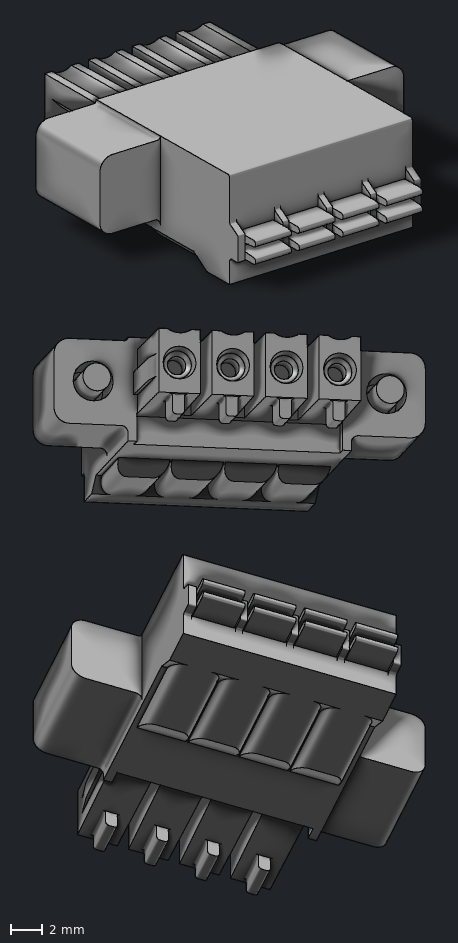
import cadquery as cq


EPS = 0.02

TOTAL_WIDTH = 24.3
POLE_COUNT = 4
POLE_PITCH = 3.5
POLE_CENTRES = [(i - (POLE_COUNT - 1) / 2) * POLE_PITCH for i in range(POLE_COUNT)]
SIDES = (-1, 1)

HOUSING_WIDTH = 14.63
HOUSING_TOP = 3.0
HOUSING_BOTTOM = -4.76
FRONT_BOTTOM = -3.85
REAR = 14.34
TOP_REAR_RADIUS = 0.2
SLOPE_RUN = 1.43
STEP_START = 10.45

COLLAR_REAR = 15.25
COLLAR_SLOPE_TOP = -0.44
COLLAR_SLOPE_END = -1.0
COLLAR_BOTTOM = -2.9
COLLAR_EDGE_RADIUS = 0.1
COLLAR_SLOPE_RADIUS = 0.25
COLLAR_ROOT_RADIUS = 0.25

BLADE_TIP = 16.28
BLADE_WIDTH = 2.87
BLADE_ROOT_THICKNESS = 0.53
BLADE_TIP_THICKNESS = 0.45
BLADE_TOP = -1.15
BLADE_BOTTOM = -2.85
BLADE_TIP_RADIUS = 0.22
SLOT_WIDTH = 3.01

LOBE_START = 4.95
LOBE_WIDTH = 3.35
LOBE_RADIUS = 0.83

FLANGE_LENGTH = 6.9
FLANGE_TOP = 2.75
FLANGE_BOTTOM = -2.85
FLANGE_RADIUS = 1.0
FLANGE_BOTTOM_ROOT_RADIUS = 0.45

SCREW_CENTRE = 9.6
SCREW_HOLE_DIAMETER = 2.6
SCREW_HOLE_DEPTH = 3.4
SCREW_DIAMETER = 1.82
SCREW_TIP = -1.25

PLUG_TIP = -6.51
PLUG_TOP = 2.2
PLUG_BOTTOM = -2.0
PLUG_TIP_WIDTH = 2.72
PLUG_ROOT_WIDTH = 2.87
GROOVE_WIDTH = 1.55
GROOVE_DEPTH = 0.25

MOUTH_DIAMETER = 2.15
MOUTH_END_DIAMETER = 1.82
MOUTH_DEPTH = 0.7
FUNNEL_DEPTH = 0.25
BORE_DIAMETER = 1.2
BORE_DEPTH = 2.19

KEY_START = -6.2
KEY_LENGTH = 2.24
KEY_WIDTH = 0.8
KEY_BOTTOM = -3.3
KEY_RADIUS = 0.25
KEY_ROOT_RADIUS = 0.15

RECESS_WIDTH = 13.46
RECESS_DEPTH = 0.9

RIB_START = -5.7
RIB_RAMP_END = -4.35
RIB_TOP = 0.7
RIB_BOTTOM = -0.78
RIB_RAMP_Y = 6.85
RIB_ROOT_Y = 6.95


def box(x_range, y_range, z_range):
    """Box between the given limits."""
    (x0, x1), (y0, y1), (z0, z1) = x_range, y_range, z_range
    return cq.Workplane("XY").box(x1 - x0, y1 - y0, z1 - z0, centered=False).translate((x0, y0, z0))


def side_prism(points, width, centre_y=0.0):
    """Outline in X and Z, extruded symmetrically about a plane of constant Y."""
    prism = cq.Workplane("XZ").polyline(points).close().extrude(width / 2, both=True)
    return prism.translate((0, centre_y, 0))


def x_cylinder(diameter, start, end, y):
    """Cylinder along X at the level of the pole axes."""
    return cq.Workplane("YZ", origin=(start, y, 0)).circle(diameter / 2).extrude(end - start)


def round_edge(body, x, z, radius):
    """Fillet the edge along Y that passes through the given X and Z."""
    return body.edges(cq.selectors.NearestToPointSelector((x, 0, z))).fillet(radius)


def make_housing():
    outline = [
        (0, HOUSING_TOP),
        (REAR, HOUSING_TOP),
        (REAR, COLLAR_SLOPE_TOP),
        (COLLAR_REAR, COLLAR_SLOPE_END),
        (COLLAR_REAR, COLLAR_BOTTOM),
        (REAR, COLLAR_BOTTOM),
        (REAR, HOUSING_BOTTOM),
        (STEP_START + SLOPE_RUN, HOUSING_BOTTOM),
        (STEP_START, FRONT_BOTTOM),
        (0, FRONT_BOTTOM),
    ]
    housing = side_prism(outline, HOUSING_WIDTH)
    housing = round_edge(housing, REAR, HOUSING_TOP, TOP_REAR_RADIUS)
    housing = round_edge(housing, REAR, COLLAR_SLOPE_TOP, COLLAR_SLOPE_RADIUS)
    housing = round_edge(housing, COLLAR_REAR, COLLAR_SLOPE_END, COLLAR_EDGE_RADIUS)
    housing = round_edge(housing, COLLAR_REAR, COLLAR_BOTTOM, COLLAR_EDGE_RADIUS)
    return round_edge(housing, REAR, COLLAR_BOTTOM, COLLAR_ROOT_RADIUS)


def make_corner_fillet(length, y, z, radius, y_direction, z_direction):
    """Concave fillet along X filling the corner at the given Y and Z."""
    centre_y = y + y_direction * radius
    centre_z = z + z_direction * radius
    filler = box((0, length), sorted((y, centre_y)), sorted((z, centre_z)))
    return filler.cut(cq.Workplane("YZ").center(centre_y, centre_z).circle(radius).extrude(length))


def make_flange_plate():
    """Plate across the housing that carries both flanges, with its root fillets."""
    edge_y = TOTAL_WIDTH / 2
    plate = box((0, FLANGE_LENGTH), (-edge_y, edge_y), (FLANGE_BOTTOM, FLANGE_TOP))
    plate = plate.edges("|X").fillet(FLANGE_RADIUS)
    roots = [(FLANGE_TOP, HOUSING_TOP - FLANGE_TOP, 1), (FLANGE_BOTTOM, FLANGE_BOTTOM_ROOT_RADIUS, -1)]
    for side in SIDES:
        for root_z, radius, direction in roots:
            root_y = side * HOUSING_WIDTH / 2
            plate = plate.union(make_corner_fillet(FLANGE_LENGTH, root_y, root_z, radius, side, direction))
    return plate


def make_lobe(y):
    """Round-bottomed lobe with a sloping front, running back into the step."""
    outline = [
        (LOBE_START, FRONT_BOTTOM),
        (LOBE_START + SLOPE_RUN, HOUSING_BOTTOM),
        (STEP_START + SLOPE_RUN, HOUSING_BOTTOM),
        (STEP_START + SLOPE_RUN, FRONT_BOTTOM),
    ]
    bar = box(
        (LOBE_START, STEP_START + SLOPE_RUN),
        (y - LOBE_WIDTH / 2, y + LOBE_WIDTH / 2),
        (HOUSING_BOTTOM, FRONT_BOTTOM),
    ).edges("|X and <Z").fillet(LOBE_RADIUS)
    return bar.intersect(side_prism(outline, LOBE_WIDTH, y))


def make_plug(y):
    """Tapered plug body with a shallow round groove along its top."""
    tip = PLUG_TIP_WIDTH / 2
    root = PLUG_ROOT_WIDTH / 2
    outline = [
        (PLUG_TIP, y - tip),
        (0, y - root),
        (RECESS_DEPTH, y - root),
        (RECESS_DEPTH, y + root),
        (0, y + root),
        (PLUG_TIP, y + tip),
    ]
    plug = (
        cq.Workplane("XY", origin=(0, 0, PLUG_BOTTOM))
        .polyline(outline)
        .close()
        .extrude(PLUG_TOP - PLUG_BOTTOM)
    )
    groove = (
        cq.Workplane("YZ", origin=(PLUG_TIP, y, PLUG_TOP))
        .moveTo(-GROOVE_WIDTH / 2, 0)
        .threePointArc((0, -GROOVE_DEPTH), (GROOVE_WIDTH / 2, 0))
        .close()
        .extrude(-PLUG_TIP)
    )
    return plug.cut(groove)


def make_contact_opening(y):
    """Tapered mouth, short funnel and blind bore, turned about the pole axis."""
    mouth_end = PLUG_TIP + MOUTH_DEPTH
    funnel_end = mouth_end + FUNNEL_DEPTH
    bore_end = PLUG_TIP + BORE_DEPTH
    half_profile = [
        (PLUG_TIP, 0),
        (PLUG_TIP, MOUTH_DIAMETER / 2),
        (mouth_end, MOUTH_END_DIAMETER / 2),
        (funnel_end, BORE_DIAMETER / 2),
        (bore_end, BORE_DIAMETER / 2),
        (bore_end, 0),
    ]
    turned = cq.Workplane("XZ").polyline(half_profile).close().revolve(360, (0, 0), (1, 0))
    return turned.translate((0, y, 0))


def make_key(y):
    """Coding key with rounded lower edges and fillets where it meets the plug."""
    half_width = KEY_WIDTH / 2
    key = box(
        (0, KEY_LENGTH),
        (y - half_width, y + half_width),
        (KEY_BOTTOM, PLUG_BOTTOM),
    )
    key = key.edges("|X and <Z").fillet(KEY_RADIUS)
    for side in SIDES:
        root_y = y + side * half_width
        key = key.union(make_corner_fillet(KEY_LENGTH, root_y, PLUG_BOTTOM, KEY_ROOT_RADIUS, side, -1))
    return key.translate((KEY_START, 0, 0))


def make_side_rib(side):
    """Ramped rib on the outer side of an end plug."""
    axis_y = POLE_CENTRES[-1]
    outline = [
        (RIB_START, side * axis_y),
        (RIB_START, side * (axis_y + PLUG_TIP_WIDTH / 2)),
        (RIB_RAMP_END, side * RIB_RAMP_Y),
        (0, side * RIB_ROOT_Y),
        (0, side * axis_y),
    ]
    return (
        cq.Workplane("XY", origin=(0, 0, RIB_BOTTOM))
        .polyline(outline)
        .close()
        .extrude(RIB_TOP - RIB_BOTTOM)
    )


def make_blade(y, outer_z, inward):
    """Blade with a straight outer face, a tapered inner face and a rounded tip."""
    outline = [
        (REAR - EPS, outer_z),
        (BLADE_TIP, outer_z),
        (BLADE_TIP, outer_z + inward * BLADE_TIP_THICKNESS),
        (COLLAR_REAR, outer_z + inward * BLADE_ROOT_THICKNESS),
        (REAR - EPS, outer_z + inward * BLADE_ROOT_THICKNESS),
    ]
    return side_prism(outline, BLADE_WIDTH, y).edges("|Y and >X").fillet(BLADE_TIP_RADIUS)


result = make_housing().union(make_flange_plate())
for pole_y in POLE_CENTRES:
    result = result.union(make_lobe(pole_y))

recess = box(
    (-EPS, RECESS_DEPTH),
    (-RECESS_WIDTH / 2, RECESS_WIDTH / 2),
    (FRONT_BOTTOM - EPS, PLUG_BOTTOM),
)
result = result.cut(recess)

for pole_y in POLE_CENTRES:
    slot = box(
        (REAR, COLLAR_REAR + EPS),
        (pole_y - SLOT_WIDTH / 2, pole_y + SLOT_WIDTH / 2),
        (COLLAR_BOTTOM - COLLAR_ROOT_RADIUS, COLLAR_SLOPE_TOP + COLLAR_SLOPE_RADIUS),
    )
    result = result.cut(slot)

for side in SIDES:
    screw_y = side * SCREW_CENTRE
    result = result.cut(x_cylinder(SCREW_HOLE_DIAMETER, 0, SCREW_HOLE_DEPTH, screw_y))
    result = result.union(x_cylinder(SCREW_DIAMETER, SCREW_TIP, SCREW_HOLE_DEPTH + EPS, screw_y))

for pole_y in POLE_CENTRES:
    result = result.union(make_plug(pole_y)).union(make_key(pole_y))
    result = result.union(make_blade(pole_y, BLADE_TOP, -1))
    result = result.union(make_blade(pole_y, BLADE_BOTTOM, 1))
for side in SIDES:
    result = result.union(make_side_rib(side))
for pole_y in POLE_CENTRES:
    result = result.cut(make_contact_opening(pole_y))